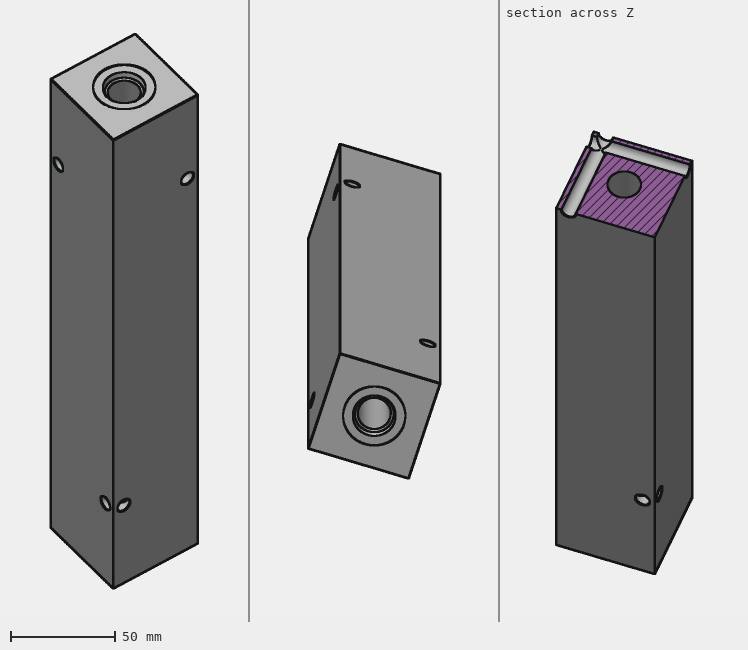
import cadquery as cq

length = 311.0
width = 50.7
edge_chamfer = 0.3

bore_diameter = 16.0
shoulder_diameter = 18.7
mouth_diameter = 20.5
spotface_diameter = 30.0
spotface_depth = 0.5
mouth_depth = 2.8
shoulder_depth = 0.5

cross_hole_diameter = 7.2
cross_hole_mouth_diameter = 7.8
cross_hole_offset = 19.0
cross_hole_height = 101.5


def make_bar():
    """Square bar centred on the origin, with every outer edge broken."""
    return cq.Workplane("XY").box(width, width, length).edges().chamfer(edge_chamfer)


def make_bore():
    """Half section of the bore and its two ends, revolved about Z."""
    spotface_z = length / 2 - spotface_depth
    shoulder_z = spotface_z - mouth_depth
    bore_z = shoulder_z - shoulder_depth
    upper_half = [
        (bore_diameter / 2, bore_z),
        (shoulder_diameter / 2, shoulder_z),
        (mouth_diameter / 2, spotface_z),
        (spotface_diameter / 2, spotface_z),
        (spotface_diameter / 2, length / 2),
        (0, length / 2),
    ]
    lower_half = [(radius, -z) for radius, z in reversed(upper_half)]
    section = cq.Workplane("XZ").polyline(lower_half + upper_half).close()
    return section.revolve(360, (0, 0), (0, 1))


def make_cross_hole(plane, side_position, height):
    """Through hole across the bar, countersunk at 45 degrees on both faces."""
    half_width = width / 2
    hole_radius = cross_hole_diameter / 2
    mouth_radius = cross_hole_mouth_diameter / 2
    sink_depth = mouth_radius - hole_radius
    axis = cq.Workplane(plane).center(side_position, height)
    hole = axis.circle(hole_radius).extrude(half_width, both=True)
    for face_side in (-1, 1):
        sink = (
            axis.workplane(offset=face_side * half_width)
            .circle(mouth_radius)
            .workplane(offset=-face_side * sink_depth)
            .circle(hole_radius)
            .loft()
        )
        hole = hole.union(sink)
    return hole


result = make_bar().cut(make_bore())
for end in (-1, 1):
    hole_height = end * cross_hole_height
    result = result.cut(make_cross_hole("XZ", -end * cross_hole_offset, hole_height))
    result = result.cut(make_cross_hole("YZ", end * cross_hole_offset, hole_height))